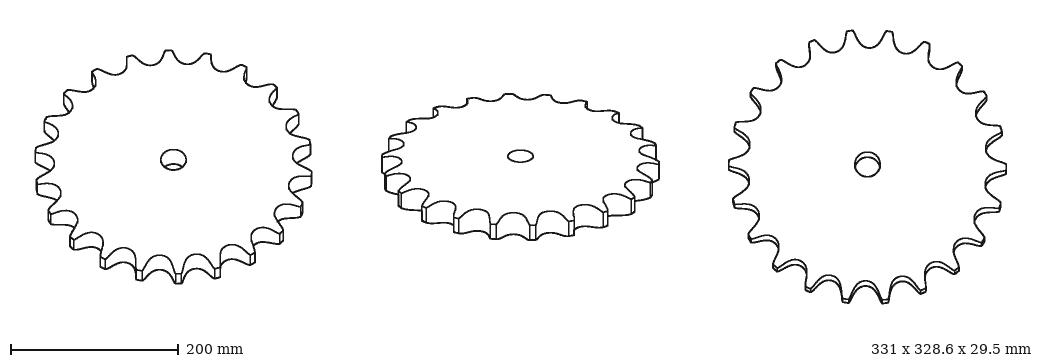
import cadquery as cq
import math


tooth_count = 22
pitch_diameter = 312.5
roller_diameter = 27.8
seat_clearance = 0.075
tip_radius = 165.5
thickness = 29.5
bore_diameter = 30.0
flat_face_radius = 145.5

tooth_step = 2 * math.pi / tooth_count
half_step = tooth_step / 2
pitch_radius = pitch_diameter / 2
chain_pitch = pitch_diameter * math.sin(half_step)
face_curve_radius = chain_pitch

SEAT_OVERSIZE = 1.005
WORKING_CENTER_RATIO = 0.8
TOPPING_CENTER_RATIO = 1.4
seat_radius = (SEAT_OVERSIZE * roller_diameter + seat_clearance) / 2
seat_end_angle = math.radians(35 + 60 / tooth_count)
working_sweep = math.radians(18 - 56 / tooth_count)


def offset(start, distance, angle):
    """Point at a distance from start in the direction of angle."""
    return (start[0] + distance * math.cos(angle), start[1] + distance * math.sin(angle))


def flank_stretches():
    """Stretches of one flank from the gap bottom to the tooth tip, for a gap centred on +Y.

    The stretches are the roller seat arc, the hollow working arc, a short straight
    and the rounded topping arc. All of them meet tangentially.
    """
    seat_center = (0, pitch_radius)
    bottom = (0, pitch_radius - seat_radius)
    seat_middle_angle = (seat_end_angle + math.pi / 2) / 2
    seat_middle = offset(seat_center, -seat_radius, seat_middle_angle)
    seat_end = offset(seat_center, -seat_radius, seat_end_angle)

    working_center_distance = WORKING_CENTER_RATIO * roller_diameter
    working_center = offset(seat_center, working_center_distance, seat_end_angle)
    working_radius = working_center_distance + seat_radius
    straight_normal = seat_end_angle - working_sweep
    working_middle = offset(working_center, -working_radius, seat_end_angle - working_sweep / 2)
    working_end = offset(working_center, -working_radius, straight_normal)

    topping_center = offset(seat_center, -TOPPING_CENTER_RATIO * roller_diameter, half_step)
    topping_radius = (
        (working_end[0] - topping_center[0]) * math.cos(straight_normal)
        + (working_end[1] - topping_center[1]) * math.sin(straight_normal)
    )
    straight_end = offset(topping_center, topping_radius, straight_normal)

    center_distance = math.hypot(*topping_center)
    center_angle = math.atan2(topping_center[1], topping_center[0])
    cosine = (
        (center_distance**2 + tip_radius**2 - topping_radius**2)
        / (2 * center_distance * tip_radius)
    )
    tip_corner = offset((0, 0), tip_radius, center_angle - math.acos(cosine))
    tip_normal = math.atan2(tip_corner[1] - topping_center[1], tip_corner[0] - topping_center[0])
    topping_middle = offset(topping_center, topping_radius, (straight_normal + tip_normal) / 2)

    return [
        (bottom, seat_middle, seat_end),
        (seat_end, working_middle, working_end),
        (working_end, straight_end),
        (straight_end, topping_middle, tip_corner),
    ]


def turned(point, angle):
    """Point turned about the wheel axis."""
    x, y = point
    return (
        x * math.cos(angle) - y * math.sin(angle),
        x * math.sin(angle) + y * math.cos(angle),
    )


def draw_stretch(outline, stretch, angle):
    """Add a stretch, turned about the wheel axis: three points make an arc, two a line."""
    points = [turned(point, angle) for point in stretch[1:]]
    if len(points) == 2:
        return outline.threePointArc(*points)
    return outline.lineTo(*points[0])


def toothed_plate():
    """Plate with the full tooth outline and flat faces."""
    rising_flank = flank_stretches()
    falling_flank = [
        [(-x, y) for x, y in reversed(stretch)]
        for stretch in reversed(rising_flank)
    ]
    tooth_tip_start = falling_flank[0][0]
    gap_bottom = rising_flank[0][0]
    first_gap_turn = half_step - math.pi / 2

    outline = cq.Workplane("XY").workplane(offset=-thickness / 2)
    outline = outline.moveTo(*turned(gap_bottom, first_gap_turn))
    for gap in range(tooth_count):
        gap_turn = first_gap_turn + gap * tooth_step
        next_gap_turn = gap_turn + tooth_step
        for stretch in rising_flank:
            outline = draw_stretch(outline, stretch, gap_turn)
        tip_middle = offset((0, 0), tip_radius, (gap + 1) * tooth_step)
        outline = outline.threePointArc(tip_middle, turned(tooth_tip_start, next_gap_turn))
        for stretch in falling_flank:
            outline = draw_stretch(outline, stretch, next_gap_turn)
    return outline.close().extrude(thickness)


def turned_blank():
    """Bored disc whose faces curve inward towards the tooth tips."""
    bore_radius = bore_diameter / 2
    half_thickness = thickness / 2
    curve_width = tip_radius - flat_face_radius

    def face_height(width):
        drop = face_curve_radius - math.sqrt(face_curve_radius**2 - width**2)
        return half_thickness - drop

    middle_radius = flat_face_radius + curve_width / 2
    middle_height = face_height(curve_width / 2)
    tip_height = face_height(curve_width)
    return (
        cq.Workplane("XZ")
        .moveTo(bore_radius, -half_thickness)
        .lineTo(flat_face_radius, -half_thickness)
        .threePointArc((middle_radius, -middle_height), (tip_radius, -tip_height))
        .lineTo(tip_radius, tip_height)
        .threePointArc((middle_radius, middle_height), (flat_face_radius, half_thickness))
        .lineTo(bore_radius, half_thickness)
        .close()
        .revolve(360, (0, 0, 0), (0, 1, 0))
    )


result = toothed_plate().intersect(turned_blank())